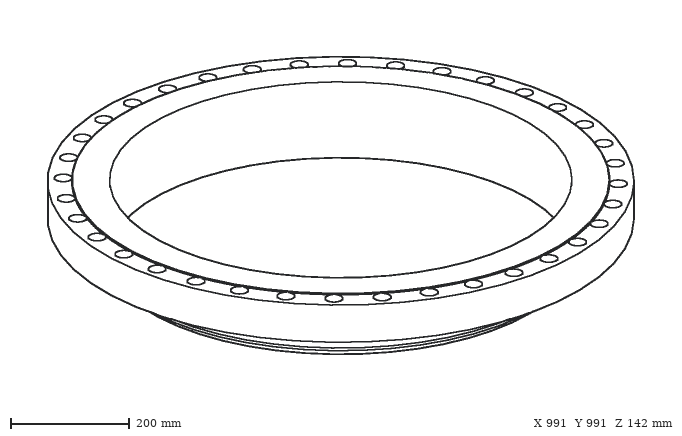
import cadquery as cq

outer_diameter = 991.0
total_height = 142.0
plate_thickness = 71.0
bore_diameter = 781.0

face_diameter = 906.0
face_base_diameter = 908.0
face_height = 2.0

neck_root_diameter = 862.0
root_land_height = 3.0
neck_end_diameter = 816.0
end_land_height = 5.0
bevel_height = 14.0
bevel_tip_diameter = 787.0

bolt_count = 36
bolt_circle_diameter = 937.0
bolt_hole_diameter = 30.0

plate_bottom = total_height - plate_thickness
plate_top = total_height - face_height
bore_radius = bore_diameter / 2


def flange_body():
    """Ring revolved about Z, with the weld end of the neck at Z = 0."""
    profile = [
        (bore_radius, 0),
        (bevel_tip_diameter / 2, 0),
        (neck_end_diameter / 2, bevel_height),
        (neck_end_diameter / 2, bevel_height + end_land_height),
        (neck_root_diameter / 2, plate_bottom - root_land_height),
        (neck_root_diameter / 2, plate_bottom),
        (outer_diameter / 2, plate_bottom),
        (outer_diameter / 2, plate_top),
        (face_base_diameter / 2, plate_top),
        (face_diameter / 2, total_height),
        (bore_radius, total_height),
    ]
    return cq.Workplane("XZ").polyline(profile).close().revolve(360, (0, 0), (0, 1))


def bolt_holes():
    """Through holes, the first one on the +X axis."""
    return (
        cq.Workplane("XY")
        .workplane(offset=plate_bottom)
        .polarArray(bolt_circle_diameter / 2, 0, 360, bolt_count)
        .circle(bolt_hole_diameter / 2)
        .extrude(plate_thickness)
    )


result = flange_body().cut(bolt_holes())